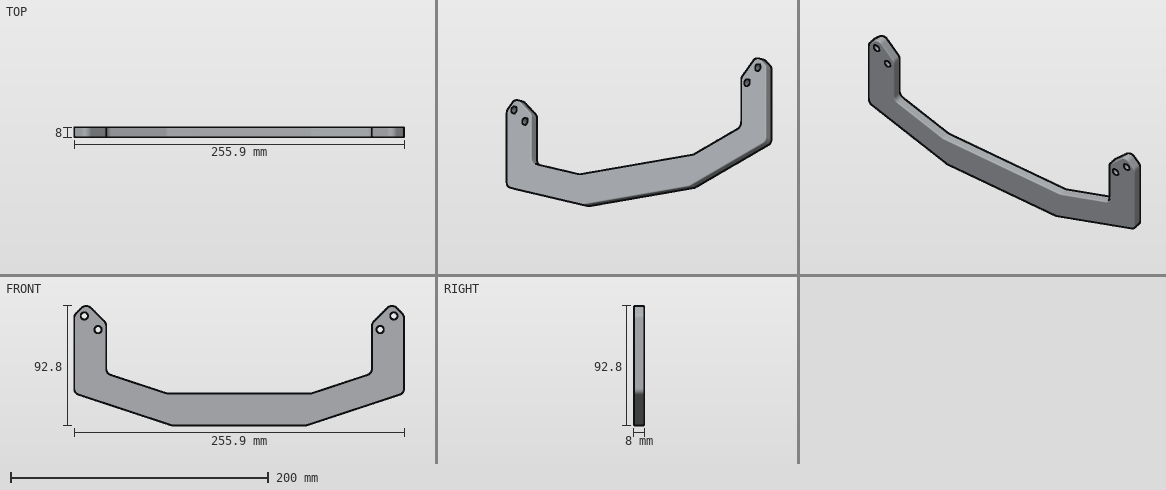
import cadquery as cq
import math

span = 255.9
height = 92.81
thickness = 8.0

band_width = 25.0
outer_corner_z = 25.0
lower_bend_x = 52.15
corner_radius = 5.0
edge_radius = 1.0

tip_x = 118.55
hole_diameter = 5.5
hole_spacing = 15.0
upper_hole_x = 120.0
upper_hole_z = 85.0

outer_x = span / 2
inner_x = outer_x - band_width
slope_angle = math.atan2(outer_corner_z, outer_x - lower_bend_x)
upper_bend_x = lower_bend_x + band_width * math.tan(slope_angle / 2)
inner_corner_z = band_width + (inner_x - upper_bend_x) * math.tan(slope_angle)
tip_z = height + corner_radius * (math.sqrt(2) - 1)
outer_shoulder_z = tip_z - (outer_x - tip_x)
inner_shoulder_z = tip_z - (tip_x - inner_x)
hole_step = hole_spacing / math.sqrt(2)


def make_body():
    """Flat handle with rounded outline corners, symmetric about X = 0 and Y = 0."""
    right_half = [
        (lower_bend_x, 0),
        (outer_x, outer_corner_z),
        (outer_x, outer_shoulder_z),
        (tip_x, tip_z),
        (inner_x, inner_shoulder_z),
        (inner_x, inner_corner_z),
        (upper_bend_x, band_width),
    ]
    left_half = [(-x, z) for x, z in reversed(right_half)]
    body = (
        cq.Workplane("XZ")
        .polyline(right_half + left_half)
        .close()
        .extrude(thickness / 2, both=True)
    )
    return body.edges("|Y").fillet(corner_radius)


def round_face_edges(body):
    """Round the whole outline on the front and back faces."""
    return body.faces("<Y or >Y").edges().fillet(edge_radius)


def cut_mounting_holes(body):
    """Two through holes in each arm tip, in line with the long 45 degree edge."""
    centres = []
    for side in (-1, 1):
        for step in (0, hole_step):
            centres.append((side * (upper_hole_x - step), upper_hole_z - step))
    holes = (
        cq.Workplane("XZ")
        .pushPoints(centres)
        .circle(hole_diameter / 2)
        .extrude(thickness, both=True)
    )
    return body.cut(holes)


result = cut_mounting_holes(round_face_edges(make_body()))